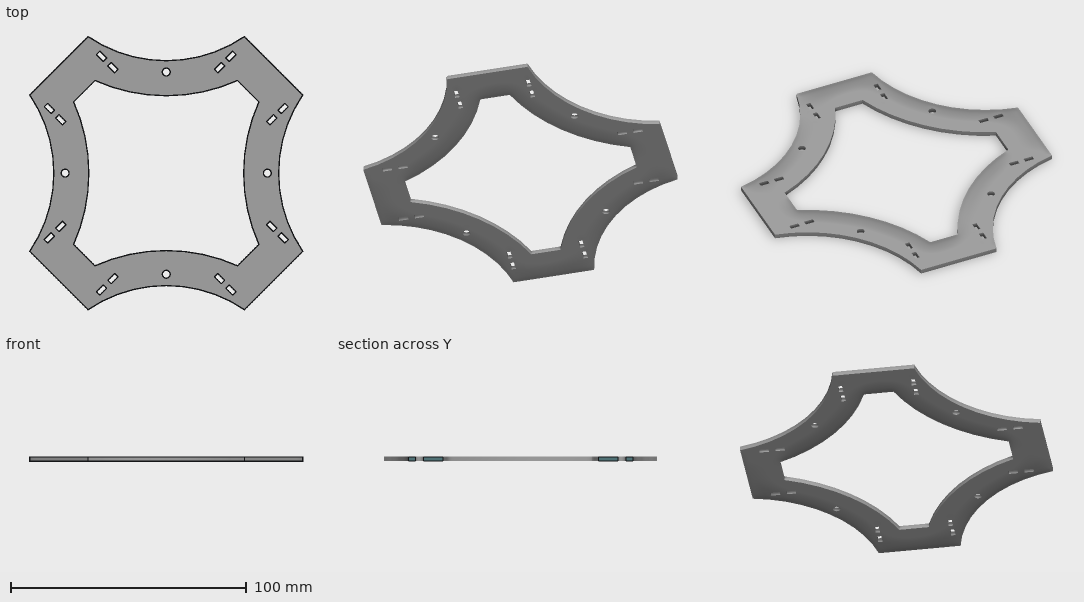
import cadquery as cq
import math

width = 116.0
thickness = 2.0
half_width = width / 2

arc_center_distance = 106.7
outer_corner_offset = 33.2
outer_radius = math.hypot(outer_corner_offset, arc_center_distance - half_width)
band_width = 15.0
inner_radius = outer_radius + band_width
inner_corner_offset = 30.3
inner_corner_distance = arc_center_distance - math.sqrt(inner_radius**2 - inner_corner_offset**2)

hole_diameter = 3.2
hole_distance = 42.9

slot_length = 4.1
slot_width = 2.0
slot_diagonal_distances = (47.7, 54.5)
slot_side_offset = 15.7
arm_angles = (45, 135, 225, 315)


def rotated(x, y, quarter_turns):
    for _ in range(quarter_turns):
        x, y = -y, x
    return x, y


def scalloped_square(corner_offset, corner_distance, arc_radius):
    """Plate with four inward-bowed sides joined by straight diagonal corners."""
    middle_distance = arc_center_distance - arc_radius
    outline = cq.Workplane("XY").moveTo(corner_offset, corner_distance)
    for turn in range(4):
        if turn > 0:
            outline = outline.lineTo(*rotated(corner_offset, corner_distance, turn))
        outline = outline.threePointArc(
            rotated(0, middle_distance, turn),
            rotated(-corner_offset, corner_distance, turn),
        )
    return outline.close().extrude(thickness)


frame = scalloped_square(outer_corner_offset, half_width, outer_radius)
opening = scalloped_square(inner_corner_offset, inner_corner_distance, inner_radius)
result = frame.cut(opening)

hole_points = [rotated(hole_distance, 0, turn) for turn in range(4)]
holes = cq.Workplane("XY").pushPoints(hole_points).circle(hole_diameter / 2).extrude(thickness)
result = result.cut(holes)

slot_points = [
    (distance, side * slot_side_offset)
    for distance in slot_diagonal_distances
    for side in (-1, 1)
]
arm_slots = cq.Workplane("XY").pushPoints(slot_points).rect(slot_length, slot_width).extrude(thickness)
for angle in arm_angles:
    result = result.cut(arm_slots.rotate((0, 0, 0), (0, 0, 1), angle))